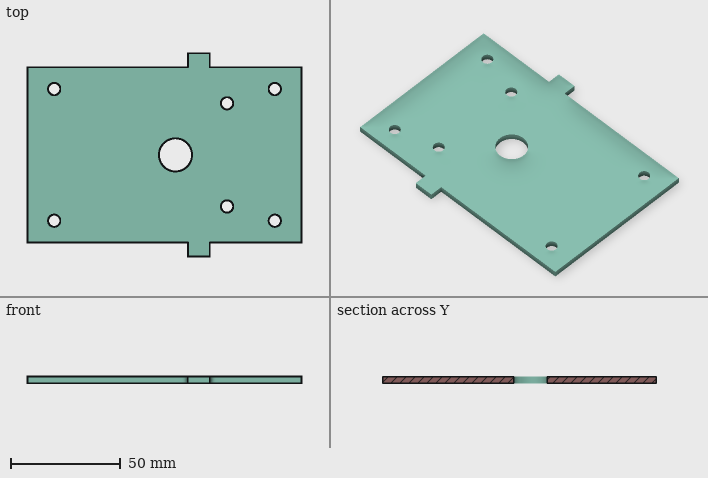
import cadquery as cq

plate_length = 125.0
plate_width = 80.0
thickness = 3.1

overall_width = 92.8
tab_length = 10.0
tab_center_x = 15.6

bore_diameter = 15.0
bore_center_x = 5.0
screw_diameter = 5.5
corner_spacing_x = 100.5
corner_spacing_y = 60.0
inner_pair_x = 28.5
inner_pair_spacing = 47.0


def make_blank():
    """Plate with one crossbar whose ends form both tabs."""
    plate = cq.Workplane("XY").box(plate_length, plate_width, thickness)
    crossbar = cq.Workplane("XY").box(tab_length, overall_width, thickness)
    return plate.union(crossbar.translate((tab_center_x, 0, 0)))


def drill(body, centers, diameter):
    """Cut through holes at the given centers."""
    return body.faces(">Z").workplane(origin=(0, 0, 0)).pushPoints(centers).hole(diameter)


corner_holes = [
    (side_x * corner_spacing_x / 2, side_y * corner_spacing_y / 2)
    for side_x in (-1, 1)
    for side_y in (-1, 1)
]
inner_holes = [(inner_pair_x, side_y * inner_pair_spacing / 2) for side_y in (-1, 1)]

result = make_blank()
result = drill(result, [(bore_center_x, 0)], bore_diameter)
result = drill(result, corner_holes + inner_holes, screw_diameter)